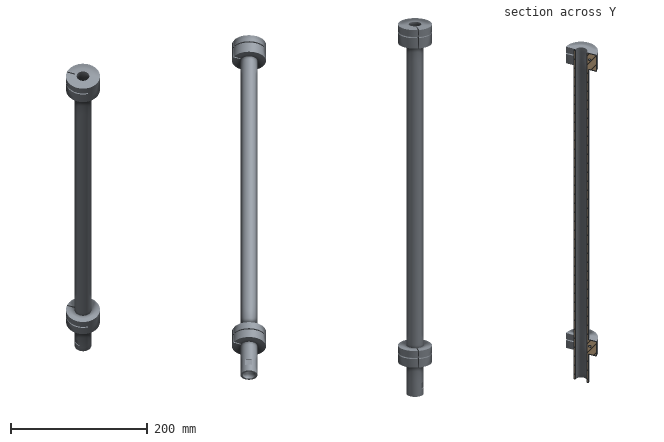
import cadquery as cq

length = 580.0
shaft_diameter = 25.0
bore_diameter = 18.5
shaft_radius = shaft_diameter / 2

collar_diameter = 50.0
top_collar_height = 29.0
lower_collar_height = 26.0
lower_collar_base = 50.5
slit_width = 2.0
cross_cut_width = 2.0
cross_cut_depth_below_top = 11.5
cross_cut_end_x = 15.0

flat_base = 10.5
flat_height = 10.0
flat_depth = 1.2
flat_direction = -120.0
seam_direction = 90.0


def cylinder(diameter, height, base):
    return cq.Workplane("XY").workplane(offset=base).circle(diameter / 2).extrude(height)


def clamp_collar(base, height):
    """Bored collar split by a full-height slit and a horizontal cross cut down to the shaft."""
    top = base + height
    collar = cylinder(collar_diameter, height, base)
    slit = (
        cq.Workplane("XY")
        .box(collar_diameter, slit_width, height, centered=(False, True, False))
        .translate((-collar_diameter, 0, base))
    )
    cross_cut = (
        cq.Workplane("XY")
        .box(collar_diameter, collar_diameter, cross_cut_width)
        .translate((cross_cut_end_x - collar_diameter / 2, 0, top - cross_cut_depth_below_top))
    )
    return collar.cut(cylinder(bore_diameter, height, base)).cut(slit).cut(cross_cut)


def flat_cutter():
    """Block that removes everything outside the flat over its height."""
    return (
        cq.Workplane("XY")
        .box(shaft_diameter, shaft_diameter, flat_height, centered=(False, True, False))
        .translate((shaft_radius - flat_depth, 0, flat_base))
        .rotate((0, 0, 0), (0, 0, 1), flat_direction)
    )


bore = cylinder(bore_diameter, length, 0)
tube = cylinder(shaft_diameter, length, 0).cut(bore).rotate((0, 0, 0), (0, 0, 1), seam_direction)
shaft = tube.cut(flat_cutter())
top_collar = clamp_collar(length - top_collar_height, top_collar_height)
lower_collar = clamp_collar(lower_collar_base, lower_collar_height)

result = shaft.union(top_collar).union(lower_collar)